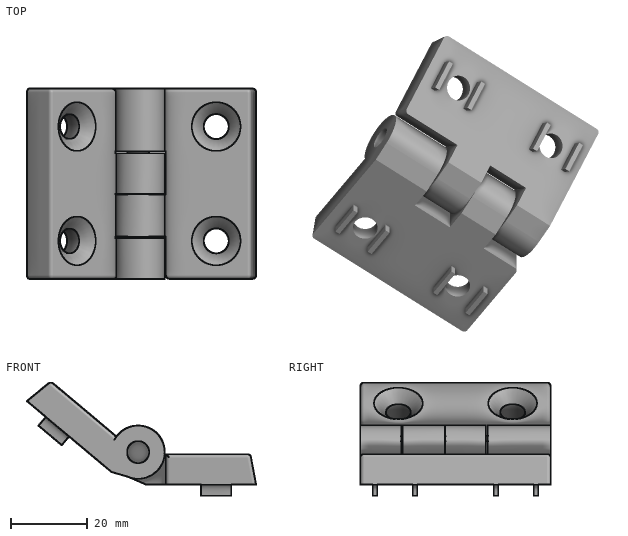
import cadquery as cq
import math

hinge_width = 50.0
half_width = hinge_width / 2
open_angle = 40.0

leaf_reach = 30.98
plate_top = -0.5
plate_thickness = 8.0
plate_bottom = plate_top - plate_thickness
end_draft = 10.6
edge_radius = 1.0
notch_face = 7.25

knuckle_radius = 7.0
web_corner = 2.0
pin_diameter = 5.8
pin_recess = 5.0

right_knuckles = [(0.0, 16.5), (27.8, 38.85)]
left_knuckles = [(17.0, 27.65), (39.25, hinge_width)]

hole_reach = 20.5
hole_pitch = 30.0
hole_diameter = 6.5
sink_diameter = 12.8
sink_depth = 3.0

tab_length = 8.0
tab_thickness = 1.25
tab_height = 3.0
tab_centers = [21.1, 10.65]


def box_between(x_range, y_range, z_range):
    """Axis-aligned box between pairs of limits."""
    sizes = [high - low for low, high in (x_range, y_range, z_range)]
    corner = (x_range[0], y_range[0], z_range[0])
    return cq.Workplane("XY").box(*sizes, centered=False).translate(corner)


def y_cylinder(radius, y_low, y_high):
    """Cylinder on the hinge axis."""
    return cq.Workplane("XZ", origin=(0, y_high, 0)).circle(radius).extrude(y_high - y_low)


def web_tangent_point():
    """Point where a line from the web's lower corner touches the knuckle underside."""
    corner_distance = math.hypot(web_corner, plate_bottom)
    corner_angle = math.atan2(plate_bottom, web_corner)
    tangent_angle = corner_angle - math.acos(knuckle_radius / corner_distance)
    return knuckle_radius * math.cos(tangent_angle), knuckle_radius * math.sin(tangent_angle)


def make_plate(gaps, free_end):
    """Plate with web, notched at the gaps; free_end (+1 or -1) is the Y end that has a gap."""
    top_reach = leaf_reach - plate_thickness * math.tan(math.radians(end_draft))
    plate = (
        cq.Workplane("XZ", origin=(0, half_width, 0))
        .moveTo(0, plate_top)
        .lineTo(*web_tangent_point())
        .lineTo(web_corner, plate_bottom)
        .lineTo(leaf_reach, plate_bottom)
        .lineTo(top_reach, plate_top)
        .close()
        .extrude(hinge_width)
    )
    for y_low, y_high in gaps:
        plate = plate.cut(box_between(
            (-knuckle_radius, notch_face), (y_low, y_high), (plate_bottom, knuckle_radius)))

    middle_z = (plate_top + plate_bottom) / 2
    middle_reach = (leaf_reach + top_reach) / 2
    rounded_points = [
        (top_reach, 0, plate_top),
        (hole_reach, half_width, plate_top),
        (hole_reach, -half_width, plate_top),
        (middle_reach, half_width, middle_z),
        (middle_reach, -half_width, middle_z),
        (notch_face, free_end * half_width, middle_z),
    ]
    rounded_edges = cq.Workplane("XY").newObject([])
    for point in rounded_points:
        rounded_edges = rounded_edges.add(plate.edges(cq.selectors.NearestToPointSelector(point)))
    return plate.newObject(rounded_edges.vals()).fillet(edge_radius)


def make_leaf(knuckles, gaps, free_end):
    """One complete leaf, lying flat on the +X side."""
    leaf = make_plate(gaps, free_end)
    for y_low, y_high in knuckles:
        leaf = leaf.union(y_cylinder(knuckle_radius, y_low, y_high))
    leaf = leaf.cut(y_cylinder(pin_diameter / 2, -half_width, half_width))

    screw_holes = (
        cq.Workplane("XY", origin=(hole_reach, 0, plate_top))
        .rarray(1, hole_pitch, 1, 2)
        .circle(hole_diameter / 2)
        .extrude(-plate_thickness)
    )
    leaf = leaf.cut(screw_holes)
    for side in (-1, 1):
        sink = cq.Solid.makeCone(
            sink_diameter / 2, hole_diameter / 2, sink_depth,
            cq.Vector(hole_reach, side * hole_pitch / 2, plate_top), cq.Vector(0, 0, -1))
        leaf = leaf.cut(cq.Workplane(sink))
        for center in tab_centers:
            leaf = leaf.union(box_between(
                (hole_reach - tab_length / 2, hole_reach + tab_length / 2),
                (side * center - tab_thickness / 2, side * center + tab_thickness / 2),
                (plate_bottom - tab_height, plate_bottom)))
    return leaf


def stretches(distances):
    """Convert distances from the +Y end into (low, high) Y limits."""
    return [(half_width - far, half_width - near) for near, far in distances]


right_gaps = [
    (right_knuckles[0][1], right_knuckles[1][0]),
    (right_knuckles[1][1], hinge_width),
]
right_leaf = make_leaf(stretches(right_knuckles), stretches(right_gaps), -1)

left_gaps = [
    (0.0, left_knuckles[0][0]),
    (left_knuckles[0][1], left_knuckles[1][0]),
]
left_leaf = (
    make_leaf(stretches(left_knuckles), stretches(left_gaps), 1)
    .mirror("YZ")
    .rotate((0, 0, 0), (0, 1, 0), open_angle)
)

pin = y_cylinder(pin_diameter / 2, -half_width + pin_recess, half_width - pin_recess)

result = cq.Compound.makeCompound([right_leaf.val(), left_leaf.val(), pin.val()])